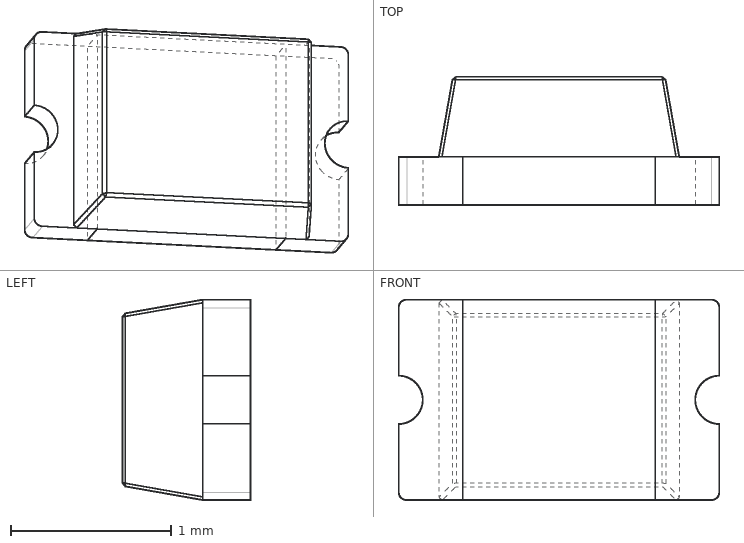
import cadquery as cq


overall_thickness = 0.8

base_length = 2.0
base_height = 1.25
base_thickness = 0.3
terminal_length = 0.4
corner_radius = 0.05
notch_radius = 0.15
substrate_length = base_length - 2 * terminal_length

lens_length = 1.5
lens_height = base_height
lens_thickness = overall_thickness - base_thickness
lens_taper_angle = 10
lens_chamfer = 0.02



def make_substrate():
    return cq.Workplane("XZ").rect(substrate_length, base_height).extrude(-base_thickness)


def make_terminal(side):
    """End terminal on the -X (side = -1) or +X (side = 1) end, with a half-round end notch."""
    center_x = side * (base_length - terminal_length) / 2
    outer_corners = "|Y and <X" if side < 0 else "|Y and >X"
    block = (
        cq.Workplane("XZ")
        .center(center_x, 0)
        .rect(terminal_length, base_height)
        .extrude(-base_thickness)
        .edges(outer_corners)
        .fillet(corner_radius)
    )
    notch = (
        cq.Workplane("XZ")
        .center(side * base_length / 2, 0)
        .circle(notch_radius)
        .extrude(-base_thickness)
    )
    return block.cut(notch)


def make_lens():
    """Block narrowing toward +Y, chamfered along every edge except those on the base."""
    return (
        cq.Workplane("XZ", origin=(0, base_thickness, 0))
        .rect(lens_length, lens_height)
        .extrude(-lens_thickness, taper=lens_taper_angle)
        .edges("not <Y")
        .chamfer(lens_chamfer)
    )


substrate = make_substrate()
terminals = [make_terminal(side) for side in (-1, 1)]
lens = make_lens()

result = cq.Compound.makeCompound(
    [substrate.val(), *[terminal.val() for terminal in terminals], lens.val()]
)